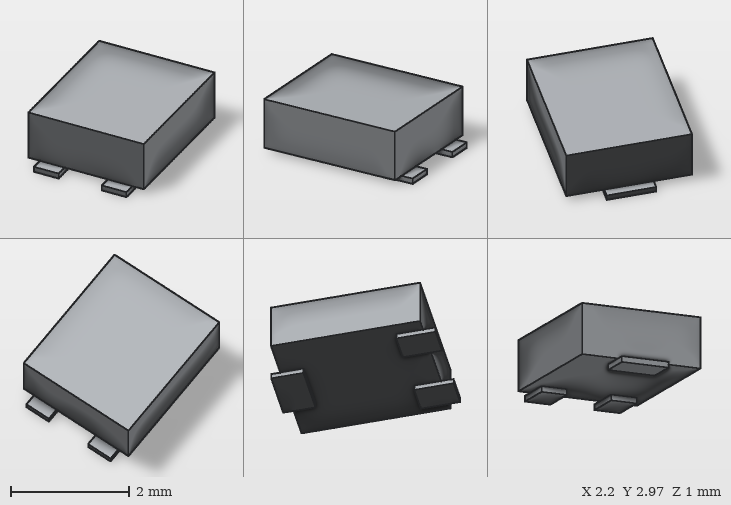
import cadquery as cq

total_length = 2.97
total_height = 1.0

lead_thickness = 0.1
front_lead_width = 0.472
front_lead_length = 0.683
front_lead_spacing = 1.295
rear_lead_width = 0.867
rear_lead_length = 0.56

housing_width = 2.2
front_overhang = 0.217
rear_overhang = 0.157
housing_length = total_length - front_overhang - rear_overhang
housing_height = total_height - lead_thickness

front_end = -total_length / 2
rear_end = total_length / 2


def block(width, length, height, center_x, front_y, bottom_z):
    """Box centred on center_x, reaching back from front_y and up from bottom_z."""
    return (
        cq.Workplane("XY")
        .box(width, length, height, centered=(True, False, False))
        .translate((center_x, front_y, bottom_z))
    )


def make_housing():
    return block(
        housing_width, housing_length, housing_height, 0, front_end + front_overhang, lead_thickness
    )


def make_front_lead(center_x):
    return block(front_lead_width, front_lead_length, lead_thickness, center_x, front_end, 0)


def make_rear_lead():
    return block(
        rear_lead_width, rear_lead_length, lead_thickness, 0, rear_end - rear_lead_length, 0
    )


housing = make_housing()
rear_lead = make_rear_lead()
front_leads = [make_front_lead(side * front_lead_spacing / 2) for side in (-1, 1)]

result = cq.Compound.makeCompound(
    [housing.val(), rear_lead.val(), *[lead.val() for lead in front_leads]]
)